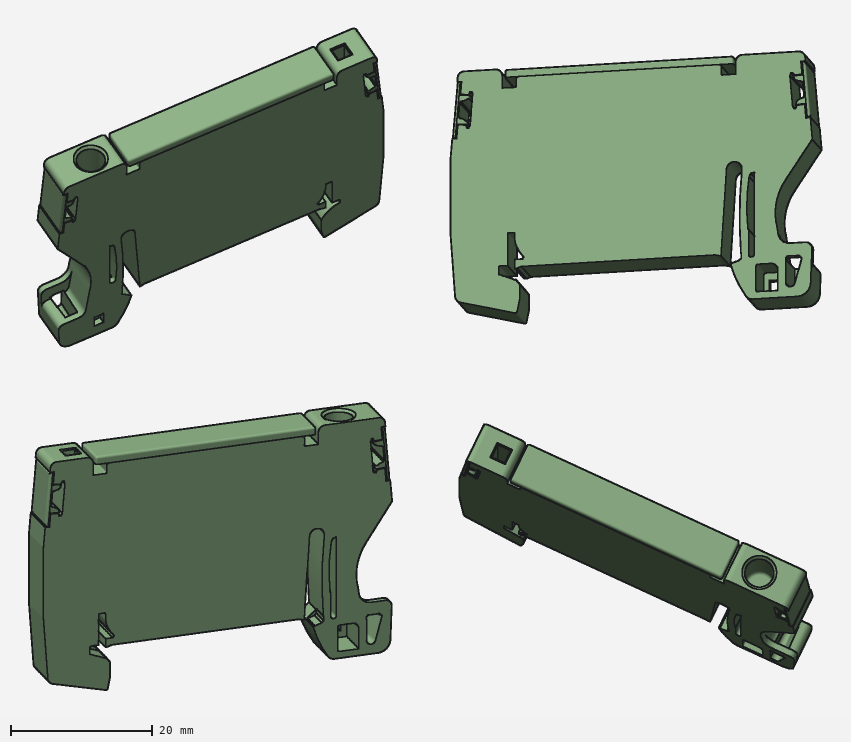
import cadquery as cq
import math


THICKNESS = 6.0
HEIGHT = 35.95
HALF_LENGTH = 52.65 / 2
MID_X = THICKNESS / 2
TOOL_MARGIN = 1.0

END_TILT = 5.0
TILT_LOW_Z = 23.1
FRONT_CHIN_Z = 22.9
TILT_TOP_HALF_LENGTH = HALF_LENGTH - (HEIGHT - TILT_LOW_Z) * math.tan(math.radians(END_TILT))

REAR_BLOCK_Y = 18.8
FRONT_BLOCK_Y = -15.2
BLOCK_RADIUS = 0.95
TROUGH_Z = 33.15
RIDGE_Z = 34.7
RIDGE_REAR_Y = 16.75
RIDGE_FRONT_Y = -13.1
RIDGE_RADIUS = 0.35
TROUGH_RADIUS = 0.2

MARKER_REAR_Y = 18.4
MARKER_FRONT_Y = -14.85
MARKER_TOP_Z = 35.87
PLATE_EDGE_RADIUS = 0.36

BASE_Z = 6.8
BASE_TIP_Z = 6.6
BASE_REAR_TIP_Y = 16.6
BASE_REAR_Y = 16.0
BASE_FRONT_Y = -12.2
BASE_FRONT_TIP_Y = -13.05
REAR_TAPER_Z = 12.3
HEEL = (25.6, 2.25)
HEEL_RADIUS = 1.0
TOE = (16.65, -0.05)
TOE_RADIUS = 0.3
TOE_LOW = (16.25, 1.9)
TOE_HIGH = (16.25, 4.2)
RAIL_HOOK_MID = (17.25, 5.4)
RAIL_HOOK_TOP_Z = 6.4
RAIL_SLOT_REAR_Y = 18.0
RAIL_SLOT_FRONT_Y = 16.95
RAIL_SLOT_TOP_Z = 11.85
RAIL_NOTCH_Y = 19.3
RAIL_NOTCH_TOP_Z = 7.05
RAIL_LIP_Z = 7.9
RAIL_LIP_END_Y = 15.85
FLARE_TOP_Z = 10.8
FLARE_MID = (16.5, 9.35)
FLARE_END = (15.65, 8.2)
RAIL_RADIUS = 0.2

ARM_GAP_TOP_Z = 20.3
ARM_GAP_RADIUS = 1.12
ARM_GAP_Y = -14.97
ARM_MID = (-15.77, 14.0)
ARM_FOOT = (-15.95, 6.65)
FOOT_TIP = (-14.4, 5.4)
FOOT_CURVE_MID = (-15.45, 2.6)
FOOT_SOLE_Y = -17.0
FOOT_SOLE_RADIUS = 1.2
FOOT_FRONT_Y = -26.02
FOOT_CORNER_RADIUS = 1.9
RIM_Z = 7.9
RIM_INNER_RADIUS = 1.8
RIM_WIDTH = 1.0
HOOK_STEP_WIDTH = THICKNESS / 2
RAIL_HOOK_STEP = [(16.8, 4.85), (RAIL_NOTCH_Y, 5.85), (RAIL_NOTCH_Y, 6.5), (16.9, 6.5)]
FOOT_TIP_STEP = [(-14.6, 5.45), (-15.7, 5.8), (-15.97, 6.1), (-15.97, 6.8), (-14.6, 6.8)]
WAIST_LOW = (-21.2, 10.4)
WAIST_MID = (-21.03, 13.6)
WAIST_HIGH = (-22.45, 17.2)
SHELF_Z = 5.4
SHELF_INNER_RADIUS = 1.2
SHELF_OUTER_RADIUS = 0.9
WALL_SLOPE = 0.15

POCKET_DEPTH = 5.0
ARM_SLOT_FRONT_Y = -17.9
ARM_SLOT_REAR_Y = -17.0
LOWER_SLOT_REAR_Y = -17.08
ARM_SLOT_TOP_Z = 18.6
ARM_SLOT_THROUGH_Z = 10.1
ARM_SLOT_LOW_Z = 6.2
ARM_SLOT_BULGE = (-16.87, 15.5)
ARM_SLOT_SHOULDER = (-17.15, 18.0)
ARM_SLOT_CREST = (-17.4, 18.45)
SLOT_END_FILL = 0.95
WEDGE_POCKET_TOP_Z = 6.0
WEDGE_POCKET_REAR_Y = -22.45
WEDGE_POCKET_FRONT_Y = -24.8
WEDGE_POCKET_TIP = (-23.2, 1.5)
WEDGE_POCKET_TIP_ENDS = ((-22.5, 2.0), (-23.8, 1.95))
WEDGE_POCKET_REAR_CHAMFER = 0.25
WEDGE_POCKET_FRONT_CHAMFER = 0.4
WEDGE_POCKET_TAPER = 2.0
WINDOW_POCKET_Y = (-21.3, -18.15)
WINDOW_POCKET_Z = (1.05, 5.07)
WINDOW_POCKET_FRONT_RADIUS = 1.0
WINDOW_POCKET_REAR_RADIUS = 0.3
WINDOW_POCKET_LOW_RADIUS = 0.2
WINDOW_Y = (-20.4, -18.93)
WINDOW_Z = (2.05, 3.95)

SQUARE_HOLE_SIDE = 2.0
SQUARE_HOLE_Y = 21.15
SQUARE_HOLE_DEPTH = 10.0
SQUARE_HOLE_CHAMFER = 0.18
ROUND_HOLE_RADIUS = 2.05
ROUND_HOLE_Y = -19.35
ROUND_HOLE_DEPTH = 8.0
ROUND_HOLE_CHAMFER = 0.4
ROUND_HOLE_FLOOR_RADIUS = 0.45
MOUTH_TAPER = 45.0

RECESS_TOP_Z = 34.5
RECESS_LENGTH = 8.35
RECESS_DEPTH = 0.65
PLATE_GAP = 0.06
LABEL_THICKNESS = 0.45
WINDOW_DEPTH = 2.42
GRIP_DROP = 1.87
GRIP_DEPTH = 1.85
NOTCH_DEPTHS = (2.0, 2.25)
NOTCH_HEIGHT = 0.4
HOOK_DROP = 1.97
HOOK_MIDDLE_DROP = 4.1
HOOK_TIP = (2.0, HOOK_DROP)
HOOK_NOSE = (1.9, 2.4)
HOOK_UNDERSIDE = [(1.45, 2.7), (0.8, 2.9)]
HOOK_ROOT_DROP = 3.3
HOOK_TIP_RADIUS = 0.3


def sketch(points):
    """Closed polygon of (y, z) points on the X = 0 face."""
    return cq.Workplane("YZ").polyline(points).close()


def block(x0, x1, y0, y1, z0, z1):
    return cq.Workplane("XY").box(x1 - x0, y1 - y0, z1 - z0, centered=False).translate((x0, y0, z0))


def round_corner(body, y, z, radius, x=MID_X):
    """Rounds the edge along X that passes nearest to the given point."""
    return body.edges("|X").edges(cq.selectors.NearestToPointSelector((x, y, z))).fillet(radius)


def end_point(depth, drop):
    """(y, z) of a point on the rear end: depth inside the tilted face, drop down along it from the recess."""
    tilt = math.radians(END_TILT)
    face_y = HALF_LENGTH - (RECESS_TOP_Z - TILT_LOW_Z) * math.tan(tilt)
    y = face_y + drop * math.sin(tilt) - depth * math.cos(tilt)
    z = RECESS_TOP_Z - drop * math.cos(tilt) - depth * math.sin(tilt)
    return (y, z)


def end_profile(local_points):
    return sketch([end_point(*p) for p in local_points])


def end_rectangle(outer_depth, inner_depth, top_drop, low_drop):
    return end_profile(
        [(outer_depth, top_drop), (inner_depth, top_drop), (inner_depth, low_drop), (outer_depth, low_drop)]
    )


def mirrored_drop(points):
    """End-face points mirrored about the line midway between the two hooks."""
    return [(depth, 2 * HOOK_MIDDLE_DROP - drop) for depth, drop in reversed(points)]


def front_and_rear(rear):
    """The rear part and its mirror image at the front end."""
    return [rear, rear.mirror("XZ")]


def foot_front_at(z):
    """Y of the foot's slightly leaning front face."""
    return FOOT_FRONT_Y - (HALF_LENGTH + FOOT_FRONT_Y) * z / RIM_Z


def wall_at(z):
    """Y of the arm's outer wall below its waist."""
    return WAIST_LOW[0] - WALL_SLOPE * (WAIST_LOW[1] - z)


def housing_blank():
    arm_gap_z = ARM_GAP_TOP_Z - ARM_GAP_RADIUS
    outline = (
        cq.Workplane("YZ")
        .moveTo(TILT_TOP_HALF_LENGTH, HEIGHT)
        .lineTo(HALF_LENGTH, TILT_LOW_Z)
        .lineTo(HALF_LENGTH, REAR_TAPER_Z)
        .lineTo(*HEEL)
        .lineTo(*TOE)
        .lineTo(*TOE_LOW)
        .lineTo(*TOE_HIGH)
        .threePointArc(RAIL_HOOK_MID, (RAIL_NOTCH_Y, RAIL_HOOK_TOP_Z))
        .lineTo(RAIL_NOTCH_Y, RAIL_NOTCH_TOP_Z)
        .lineTo(RAIL_SLOT_REAR_Y, RAIL_NOTCH_TOP_Z)
        .lineTo(RAIL_SLOT_REAR_Y, RAIL_SLOT_TOP_Z)
        .lineTo(RAIL_SLOT_FRONT_Y, RAIL_SLOT_TOP_Z)
        .lineTo(RAIL_SLOT_FRONT_Y, FLARE_TOP_Z)
        .threePointArc(FLARE_MID, FLARE_END)
        .lineTo(RAIL_LIP_END_Y, RAIL_LIP_Z)
        .lineTo(RAIL_SLOT_FRONT_Y, RAIL_LIP_Z)
        .lineTo(RAIL_SLOT_FRONT_Y, BASE_TIP_Z)
        .lineTo(BASE_REAR_TIP_Y, BASE_TIP_Z)
        .lineTo(BASE_REAR_Y, BASE_Z)
        .lineTo(BASE_FRONT_Y, BASE_Z)
        .lineTo(BASE_FRONT_TIP_Y, BASE_TIP_Z)
        .lineTo(ARM_GAP_Y + ARM_GAP_RADIUS, arm_gap_z)
        .threePointArc((ARM_GAP_Y, ARM_GAP_TOP_Z), (ARM_GAP_Y - ARM_GAP_RADIUS, arm_gap_z))
        .threePointArc(ARM_MID, ARM_FOOT)
        .lineTo(*FOOT_TIP)
        .threePointArc(FOOT_CURVE_MID, (FOOT_SOLE_Y, 0))
        .lineTo(FOOT_FRONT_Y, 0)
        .lineTo(-HALF_LENGTH, RIM_Z)
        .lineTo(wall_at(RIM_Z), RIM_Z)
        .lineTo(*WAIST_LOW)
        .threePointArc(WAIST_MID, WAIST_HIGH)
        .lineTo(-HALF_LENGTH, FRONT_CHIN_Z)
        .lineTo(-HALF_LENGTH, TILT_LOW_Z)
        .lineTo(-TILT_TOP_HALF_LENGTH, HEIGHT)
        .close()
    )
    body = outline.extrude(THICKNESS)
    for y, z, radius in (
        (TILT_TOP_HALF_LENGTH, HEIGHT, BLOCK_RADIUS),
        (-TILT_TOP_HALF_LENGTH, HEIGHT, BLOCK_RADIUS),
        (*HEEL, HEEL_RADIUS),
        (*TOE, TOE_RADIUS),
        (RAIL_NOTCH_Y, RAIL_NOTCH_TOP_Z, RAIL_RADIUS),
        (RAIL_SLOT_REAR_Y, RAIL_SLOT_TOP_Z, RAIL_RADIUS),
        (RAIL_SLOT_FRONT_Y, RAIL_SLOT_TOP_Z, RAIL_RADIUS),
        (FOOT_SOLE_Y, 0, FOOT_SOLE_RADIUS),
        (FOOT_FRONT_Y, 0, FOOT_CORNER_RADIUS),
        (-HALF_LENGTH, RIM_Z, BLOCK_RADIUS),
        (wall_at(RIM_Z), RIM_Z, RIM_INNER_RADIUS),
    ):
        body = round_corner(body, y, z, radius)
    return body


def cut_marker_trough(body):
    trough = block(0, THICKNESS, FRONT_BLOCK_Y, REAR_BLOCK_Y, TROUGH_Z, HEIGHT)
    ridge = block(0, THICKNESS, RIDGE_FRONT_Y, RIDGE_REAR_Y, TROUGH_Z, RIDGE_Z)
    body = body.cut(trough.cut(ridge))
    for y in (FRONT_BLOCK_Y, REAR_BLOCK_Y):
        body = round_corner(body, y, HEIGHT, BLOCK_RADIUS)
    for y in (RIDGE_FRONT_Y, RIDGE_REAR_Y):
        body = round_corner(body, y, RIDGE_Z, RIDGE_RADIUS)
        body = round_corner(body, y, TROUGH_Z, TROUGH_RADIUS)
    return body


def cut_foot_shelf(body):
    """Lowers the foot beside its rim, continuing the arm's wall down to the shelf."""
    wall_y = wall_at(SHELF_Z)
    lip_z = SHELF_Z - SHELF_OUTER_RADIUS
    lip_y = foot_front_at(lip_z)
    outside_y = -HALF_LENGTH - TOOL_MARGIN
    clearance = (
        cq.Workplane("YZ")
        .moveTo(*WAIST_LOW)
        .lineTo(wall_y, SHELF_Z)
        .lineTo(lip_y + SHELF_OUTER_RADIUS, SHELF_Z)
        .radiusArc((lip_y, lip_z), -SHELF_OUTER_RADIUS)
        .lineTo(outside_y, lip_z)
        .lineTo(outside_y, WAIST_LOW[1])
        .close()
        .extrude(THICKNESS)
    )
    clearance = round_corner(clearance, wall_y, SHELF_Z, SHELF_INNER_RADIUS)
    return body.cut(clearance.translate((RIM_WIDTH, 0, 0)))


def cut_hook_steps(body):
    """Lowers the tops of the rail hook and of the foot tip over part of the thickness."""
    for profile in (RAIL_HOOK_STEP, FOOT_TIP_STEP):
        body = body.cut(sketch(profile).extrude(HOOK_STEP_WIDTH))
    return body


def round_slot_end(slot, rear_y, low_z, depth):
    radius = (rear_y - ARM_SLOT_FRONT_Y) * SLOT_END_FILL / 2
    for y in (ARM_SLOT_FRONT_Y, rear_y):
        slot = round_corner(slot, y, low_z, radius, depth / 2)
    return slot


def cut_arm_slot(body):
    """Slot behind the spring arm: its upper part passes through, its lower part is blind."""
    through_slot = (
        cq.Workplane("YZ")
        .moveTo(ARM_SLOT_FRONT_Y, ARM_SLOT_TOP_Z)
        .lineTo(ARM_SLOT_FRONT_Y, ARM_SLOT_THROUGH_Z)
        .lineTo(ARM_SLOT_REAR_Y, ARM_SLOT_THROUGH_Z)
        .threePointArc(ARM_SLOT_BULGE, ARM_SLOT_SHOULDER)
        .lineTo(*ARM_SLOT_CREST)
        .close()
        .extrude(THICKNESS)
    )
    through_slot = round_slot_end(through_slot, ARM_SLOT_REAR_Y, ARM_SLOT_THROUGH_Z, THICKNESS)
    overlap_z = ARM_SLOT_THROUGH_Z + TOOL_MARGIN
    lower_slot = block(0, POCKET_DEPTH, ARM_SLOT_FRONT_Y, LOWER_SLOT_REAR_Y, ARM_SLOT_LOW_Z, overlap_z)
    lower_slot = round_slot_end(lower_slot, LOWER_SLOT_REAR_Y, ARM_SLOT_LOW_Z, POCKET_DEPTH)
    return body.cut(through_slot).cut(lower_slot)


def cut_foot_pockets(body):
    wedge = (
        cq.Workplane("YZ")
        .moveTo(WEDGE_POCKET_FRONT_Y, WEDGE_POCKET_TOP_Z - WEDGE_POCKET_FRONT_CHAMFER)
        .lineTo(WEDGE_POCKET_FRONT_Y + WEDGE_POCKET_FRONT_CHAMFER, WEDGE_POCKET_TOP_Z)
        .lineTo(WEDGE_POCKET_REAR_Y - WEDGE_POCKET_REAR_CHAMFER, WEDGE_POCKET_TOP_Z)
        .lineTo(WEDGE_POCKET_REAR_Y, WEDGE_POCKET_TOP_Z - WEDGE_POCKET_REAR_CHAMFER)
        .lineTo(*WEDGE_POCKET_TIP_ENDS[0])
        .threePointArc(WEDGE_POCKET_TIP, WEDGE_POCKET_TIP_ENDS[1])
        .close()
        .extrude(POCKET_DEPTH, taper=WEDGE_POCKET_TAPER)
    )
    pocket = block(0, POCKET_DEPTH, *WINDOW_POCKET_Y, *WINDOW_POCKET_Z)
    front_y, rear_y = WINDOW_POCKET_Y
    low_z, top_z = WINDOW_POCKET_Z
    for y, z, radius in (
        (front_y, top_z, WINDOW_POCKET_FRONT_RADIUS),
        (rear_y, top_z, WINDOW_POCKET_REAR_RADIUS),
        (rear_y, low_z, WINDOW_POCKET_LOW_RADIUS),
    ):
        pocket = round_corner(pocket, y, z, radius, POCKET_DEPTH / 2)
    window = block(0, THICKNESS, *WINDOW_Y, *WINDOW_Z)
    return body.cut(wedge).cut(pocket).cut(window)


def cut_top_holes(body):
    top = cq.Workplane("XY").workplane(offset=HEIGHT)
    square_top = top.center(MID_X, SQUARE_HOLE_Y)
    square = square_top.rect(SQUARE_HOLE_SIDE, SQUARE_HOLE_SIDE).extrude(-SQUARE_HOLE_DEPTH)
    mouth_side = SQUARE_HOLE_SIDE + 2 * SQUARE_HOLE_CHAMFER
    square_mouth = square_top.rect(mouth_side, mouth_side).extrude(-SQUARE_HOLE_CHAMFER, taper=MOUTH_TAPER)

    round_top = top.center(MID_X, ROUND_HOLE_Y)
    round_hole = round_top.circle(ROUND_HOLE_RADIUS).extrude(-ROUND_HOLE_DEPTH)
    round_hole = round_hole.faces("<Z").edges().fillet(ROUND_HOLE_FLOOR_RADIUS)
    mouth_radius = ROUND_HOLE_RADIUS + ROUND_HOLE_CHAMFER
    round_mouth = round_top.circle(mouth_radius).extrude(-ROUND_HOLE_CHAMFER, taper=MOUTH_TAPER)

    for tool in (square, square_mouth, round_hole, round_mouth):
        body = body.cut(tool)
    return body


def cut_end_recesses(body):
    """Recess for the plates and, behind it, a window whose two edges the hooks grip."""
    recess = end_rectangle(-TOOL_MARGIN, RECESS_DEPTH, 0, RECESS_LENGTH).extrude(THICKNESS)
    notch_drop = GRIP_DROP - NOTCH_HEIGHT
    half = [
        (0, GRIP_DROP),
        (GRIP_DEPTH, GRIP_DROP),
        (NOTCH_DEPTHS[0], notch_drop),
        (NOTCH_DEPTHS[1], notch_drop),
        (WINDOW_DEPTH, GRIP_DROP),
    ]
    window = end_profile(half + mirrored_drop(half)).extrude(THICKNESS)
    for tool in front_and_rear(recess) + front_and_rear(window):
        body = body.cut(tool)
    return body


def build_housing():
    body = housing_blank()
    body = cut_marker_trough(body)
    body = cut_foot_shelf(body)
    body = cut_hook_steps(body)
    body = cut_arm_slot(body)
    body = cut_foot_pockets(body)
    body = cut_top_holes(body)
    return cut_end_recesses(body)


def build_marker():
    marker = block(0, THICKNESS, MARKER_FRONT_Y, MARKER_REAR_Y, RIDGE_Z, MARKER_TOP_Z)
    return marker.edges("|Z or >Z").fillet(PLATE_EDGE_RADIUS)


def plate_profile(outer_depth, inner_depth):
    return end_rectangle(outer_depth, inner_depth, PLATE_GAP, RECESS_LENGTH - PLATE_GAP)


def build_label():
    label = plate_profile(0, LABEL_THICKNESS).extrude(THICKNESS)
    y, z = end_point(0, RECESS_LENGTH / 2)
    outer_face = label.faces(cq.selectors.NearestToPointSelector((MID_X, y, z)))
    return outer_face.edges().fillet(PLATE_EDGE_RADIUS)


def build_carrier():
    """Plate behind the label with two hooks."""
    carrier = plate_profile(LABEL_THICKNESS, RECESS_DEPTH).extrude(THICKNESS)
    hook = [
        (LABEL_THICKNESS, HOOK_DROP),
        HOOK_TIP,
        HOOK_NOSE,
        *HOOK_UNDERSIDE,
        (LABEL_THICKNESS, HOOK_ROOT_DROP),
    ]
    tip_face = [HOOK_TIP, HOOK_NOSE]
    for points, face in ((hook, tip_face), (mirrored_drop(hook), mirrored_drop(tip_face))):
        solid = end_profile(points).extrude(THICKNESS)
        ends = [end_point(*point) for point in face]
        y, z = [sum(pair) / 2 for pair in zip(*ends)]
        for x in (0, THICKNESS):
            tip_edge = cq.selectors.NearestToPointSelector((x, y, z))
            solid = solid.edges(tip_edge).fillet(HOOK_TIP_RADIUS)
        carrier = carrier.union(solid)
    return carrier


housing = build_housing()
marker = build_marker()
labels = front_and_rear(build_label())
carriers = front_and_rear(build_carrier())

plates = [plate.val() for plate in labels + carriers]

result = cq.Compound.makeCompound([housing.val(), marker.val(), *plates])